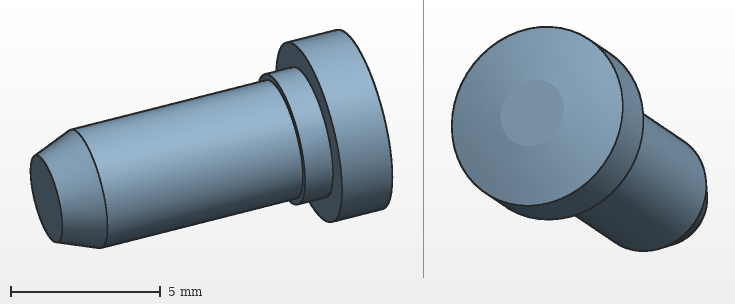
import cadquery as cq

total_length = 11.63
head_radius = 6.2 / 2
collar_radius = 4.5 / 2
shank_radius = 4.09 / 2
tip_radius = 3.0 / 2
crown_flat_radius = 2.3 / 2

taper_length = 1.41
collar_length = 1.0
head_rim_length = 1.8
crown_height = 0.43
crown_bulge = 0.03

taper_end = taper_length
rim_top = total_length - crown_height
head_base = rim_top - head_rim_length
collar_base = head_base - collar_length

crown_mid_radius = (head_radius + crown_flat_radius) / 2
crown_mid = rim_top + crown_height / 2 + crown_bulge

profile = (
    cq.Workplane("XY")
    .lineTo(tip_radius, 0)
    .lineTo(shank_radius, taper_end)
    .lineTo(shank_radius, collar_base)
    .lineTo(collar_radius, collar_base)
    .lineTo(collar_radius, head_base)
    .lineTo(head_radius, head_base)
    .lineTo(head_radius, rim_top)
    .threePointArc((crown_mid_radius, crown_mid), (crown_flat_radius, total_length))
    .lineTo(0, total_length)
    .close()
)

result = profile.revolve(360, (0, 0, 0), (0, 1, 0))